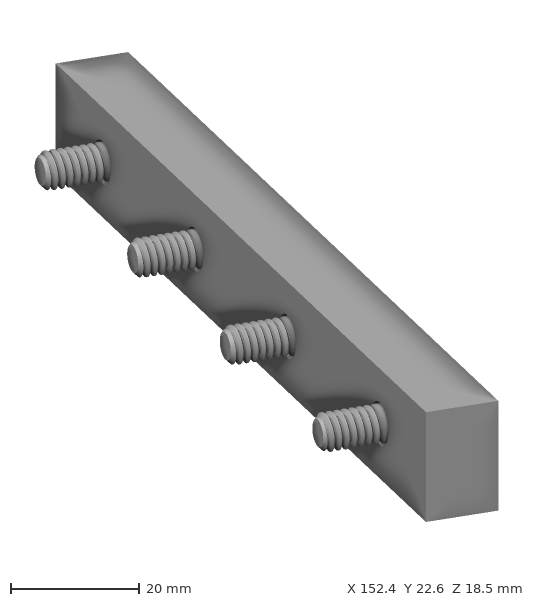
import cadquery as cq
import math

BAR_LENGTH = 152.4
BAR_DEPTH = 12.19
BAR_HEIGHT = 18.54

STUD_COUNT = 4
STUD_PITCH = BAR_LENGTH / STUD_COUNT
STUD_PROJECTION = 10.42
STUD_TURNS = [218, 206, 218, 155]

MAJOR_DIAMETER = 6.35
THREAD_PITCH = 25.4 / 20
MINOR_DIAMETER = 4.7
TIP_DIAMETER = 4.5
TIP_CHAMFER = (MAJOR_DIAMETER - TIP_DIAMETER) / 2
SEAT_DEPTH = MAJOR_DIAMETER

SINK_DIAMETER = 7.14
SINK_DEPTH = 0.6

CREST_WIDTH = THREAD_PITCH / 8
FLANK_ANGLE = 30
FLANK_SLOPE = math.tan(math.radians(FLANK_ANGLE))
GROOVE_OVERSHOOT = 0.05


def stud_positions():
    """X of each stud, in a row centred on the bar."""
    first = -STUD_PITCH * (STUD_COUNT - 1) / 2
    return [first + i * STUD_PITCH for i in range(STUD_COUNT)]


def thread_groove():
    """Helical cutter around Z, from the bottom of the countersink out past the tip."""
    root_radius = MINOR_DIAMETER / 2
    outer_radius = MAJOR_DIAMETER / 2 + GROOVE_OVERSHOOT
    mouth_half = (THREAD_PITCH - CREST_WIDTH) / 2 + GROOVE_OVERSHOOT * FLANK_SLOPE
    root_half = mouth_half - (outer_radius - root_radius) * FLANK_SLOPE
    start = mouth_half - SINK_DEPTH
    length = STUD_PROJECTION + THREAD_PITCH - start
    path = cq.Wire.makeHelix(THREAD_PITCH, length, root_radius, cq.Vector(0, 0, start))
    profile = cq.Workplane("XZ").polyline(
        [
            (root_radius, start - root_half),
            (outer_radius, start - mouth_half),
            (outer_radius, start + mouth_half),
            (root_radius, start + root_half),
        ]
    ).close()
    return profile.sweep(cq.Workplane(path), isFrenet=True)


def rod():
    """Plain cylinder along Z from the bottom of the hole to the tip."""
    return (
        cq.Workplane("XY", origin=(0, 0, -SEAT_DEPTH))
        .circle(MAJOR_DIAMETER / 2)
        .extrude(SEAT_DEPTH + STUD_PROJECTION)
    )


def make_stud():
    """Stud along Z, with Z = 0 at the bar face and the chamfered tip upward."""
    tip_envelope = rod().faces(">Z").chamfer(TIP_CHAMFER)
    return rod().cut(thread_groove()).intersect(tip_envelope)


def make_bar():
    """Block with a blind, countersunk hole for each stud."""
    bar = cq.Workplane("XY").box(BAR_LENGTH, BAR_DEPTH, BAR_HEIGHT).translate((0, BAR_DEPTH / 2, 0))
    hole = cq.Workplane("XY").circle(MAJOR_DIAMETER / 2).extrude(SEAT_DEPTH)
    sink = (
        cq.Workplane("XY")
        .circle(SINK_DIAMETER / 2)
        .workplane(offset=SINK_DEPTH)
        .circle(MAJOR_DIAMETER / 2)
        .loft()
    )
    cutter = hole.union(sink).rotate((0, 0, 0), (1, 0, 0), -90)
    for x in stud_positions():
        bar = bar.cut(cutter.translate((x, 0, 0)))
    return bar


def place_stud(stud, x, turn):
    """Turn a stud about its axis, lay it along -Y and move it to its hole."""
    turned = stud.rotate((0, 0, 0), (0, 0, 1), turn)
    return turned.rotate((0, 0, 0), (1, 0, 0), 90).translate((x, 0, 0))


bar = make_bar()
stud = make_stud()
studs = [place_stud(stud, x, turn) for x, turn in zip(stud_positions(), STUD_TURNS)]

result = cq.Compound.makeCompound([bar.val(), *[s.val() for s in studs]])